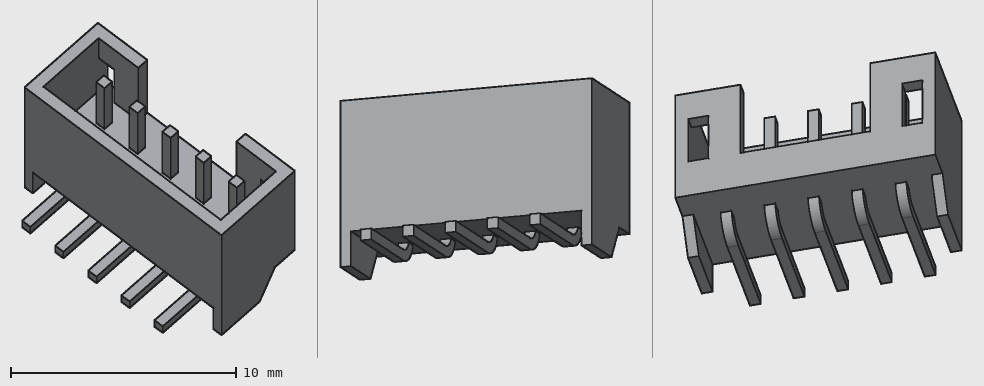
import cadquery as cq

LENGTH = 11.9
DEPTH = 4.8
HEIGHT = 7.6
WALL = 0.6

LEG_HEIGHT = 1.6
FLOOR_THICKNESS = 2.0
FLOOR_TOP = LEG_HEIGHT + FLOOR_THICKNESS

LEG_THICKNESS = 0.5
LEG_TOP_DEPTH = 3.5
LEG_TIP_DEPTH = 2.5

NOTCH_WIDTH = 5.93
WINDOW_WIDTH = 0.93
WINDOW_HEIGHT = 2.5

PIN_COUNT = 5
PIN_PITCH = 2.0
PIN_SIZE = 0.5
PIN_Y = 3.09
PIN_REACH = 2.0
PIN_TIP_Z = 6.7
PIN_TAIL_Z = 0.86
BEND_INNER_RADIUS = 0.75
BEND_RADIUS = BEND_INNER_RADIUS + PIN_SIZE / 2

BAR_Z = LEG_HEIGHT + FLOOR_THICKNESS / 2
BAR_LENGTH = (PIN_COUNT - 1) * PIN_PITCH


def block(x_size, y_min, y_max, z_min, z_max, x_center=0):
    """Box centred on x_center, with the given Y and Z limits."""
    box = cq.Workplane("XY").box(x_size, y_max - y_min, z_max - z_min, centered=(True, False, False))
    return box.translate((x_center, y_min, z_min))


def make_leg(x_min):
    outline = [(0, 0), (LEG_TIP_DEPTH, 0), (LEG_TOP_DEPTH, LEG_HEIGHT), (0, LEG_HEIGHT)]
    return cq.Workplane("YZ", origin=(x_min, 0, 0)).polyline(outline).close().extrude(LEG_THICKNESS)


def make_housing():
    cavity_length = LENGTH - 2 * WALL
    back_inside = DEPTH - WALL
    shell = block(LENGTH, 0, DEPTH, LEG_HEIGHT, HEIGHT)
    shell = shell.cut(block(cavity_length, WALL, back_inside, FLOOR_TOP, HEIGHT))

    shell = shell.cut(block(NOTCH_WIDTH, back_inside, DEPTH, FLOOR_TOP, HEIGHT))

    window_offset = (cavity_length - WINDOW_WIDTH) / 2
    window_top = FLOOR_TOP + WINDOW_HEIGHT
    for side in (-1, 1):
        shell = shell.cut(
            block(WINDOW_WIDTH, back_inside, DEPTH, FLOOR_TOP, window_top, side * window_offset)
        )

    for x_min in (-LENGTH / 2, LENGTH / 2 - LEG_THICKNESS):
        shell = shell.union(make_leg(x_min))
    return shell


def make_pin(x_center):
    """Square wire swept down from its tip, round the bend and out past the front face."""
    path = (
        cq.Workplane("YZ", origin=(x_center, 0, 0))
        .moveTo(PIN_Y, PIN_TIP_Z)
        .lineTo(PIN_Y, PIN_TAIL_Z + BEND_RADIUS)
        .radiusArc((PIN_Y - BEND_RADIUS, PIN_TAIL_Z), BEND_RADIUS)
        .lineTo(-PIN_REACH, PIN_TAIL_Z)
    )
    profile = cq.Workplane("XY", origin=(x_center, PIN_Y, PIN_TIP_Z)).rect(PIN_SIZE, PIN_SIZE)
    return profile.sweep(path)


def make_pin_row():
    half = PIN_SIZE / 2
    row = block(BAR_LENGTH, PIN_Y - half, PIN_Y + half, BAR_Z - half, BAR_Z + half)
    for index in range(PIN_COUNT):
        row = row.union(make_pin((index - (PIN_COUNT - 1) / 2) * PIN_PITCH))
    return row


pin_row = make_pin_row()
housing = make_housing().cut(pin_row)

result = cq.Compound.makeCompound([housing.solids().val(), pin_row.solids().val()])